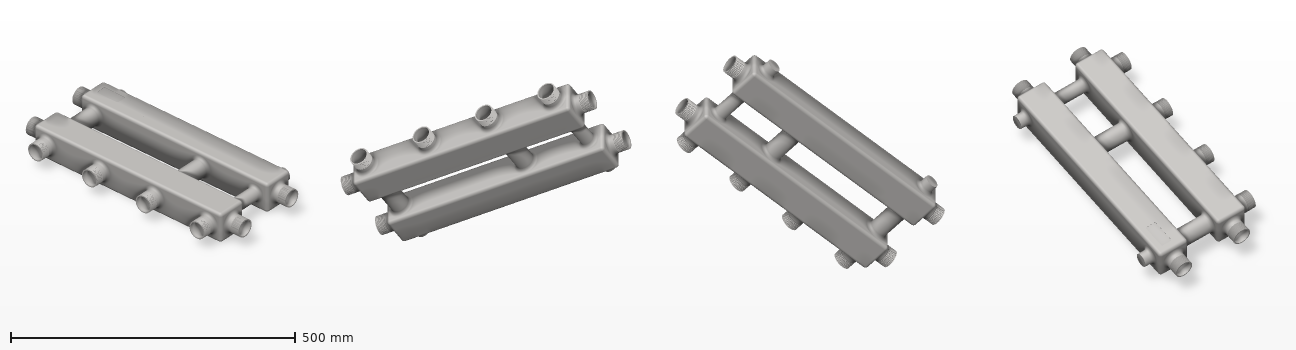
import cadquery as cq
import math

overall_length = 495.0
header_length = 434.5
header_size = 61.0
header_edge_radius = 6.0
header_pitch = 125.0

pipe_diameter = 35.0
pipe_radius = pipe_diameter / 2
small_pipe_diameter = 26.0
small_pipe_radius = small_pipe_diameter / 2
weld_radius = 6.0
weld_middle = weld_radius * (1 - math.sqrt(0.5))
root_overlap = 5.0

end_port_length = (overall_length - header_length) / 2
outlet_length = 29.5
bore_radius = 15.5
thread_pitch = 2.35
thread_depth = 1.1
end_groove_count = 8
outlet_groove_count = 7

outlet_span = 375.0
outlet_count = 4
outlet_pitch = outlet_span / (outlet_count - 1)
outlet_places = [i * outlet_pitch - outlet_span / 2 for i in range(outlet_count)]
bridge_pipes = [
    (outlet_places[0], pipe_radius),
    (outlet_places[2], pipe_radius),
    (outlet_places[3], small_pipe_radius),
]
stub_places = [outlet_places[0], outlet_places[-1]]
stub_length = 19.5

plate_length = 49.5
plate_width = 21.5
plate_corner_radius = 2.5
plate_depth = 0.5
plate_x = -176.5
plate_y_offset = 4.5

front_y = -header_pitch / 2
rear_y = header_pitch / 2
half_size = header_size / 2


def header(y):
    bar = cq.Workplane("XY").box(header_length, header_size, header_size)
    return bar.edges().fillet(header_edge_radius).translate((0, y, 0))


def weld_start(radius):
    """Begin a pipe profile (radius, height): inside the header wall, then up the weld arc."""
    return (
        cq.Workplane("XY")
        .moveTo(0, -root_overlap)
        .lineTo(radius + weld_radius, -root_overlap)
        .lineTo(radius + weld_radius, 0)
        .threePointArc((radius + weld_middle, weld_middle), (radius, weld_radius))
    )


def spin(profile):
    """Close a profile and revolve it about its own height axis, Y."""
    return profile.close().revolve(360, (0, 0, 0), (0, 1, 0))


def plain_pipe(radius, length):
    return spin(weld_start(radius).lineTo(radius, length).lineTo(0, length))


def threaded_port(length, groove_count):
    """Blind-bored pipe along +Y with ring grooves up to its mouth."""
    profile = weld_start(pipe_radius)
    thread_start = length - groove_count * thread_pitch
    for i in range(groove_count):
        groove_start = thread_start + i * thread_pitch
        profile = profile.lineTo(pipe_radius, groove_start)
        profile = profile.lineTo(pipe_radius - thread_depth, groove_start + thread_pitch / 2)
    profile = profile.lineTo(pipe_radius, length).lineTo(bore_radius, length)
    return spin(profile.lineTo(bore_radius, 0).lineTo(0, 0))


def turned(pipe, angle):
    """Turn a +Y pipe about Z."""
    return pipe.rotate((0, 0, 0), (0, 0, 1), angle)


def bridge(radius):
    """Pipe spanning the gap between the headers, with a weld at both ends."""
    gap = header_pitch - header_size
    weld_outer = radius + weld_radius
    pipe = spin(
        weld_start(radius)
        .lineTo(radius, gap - weld_radius)
        .threePointArc((radius + weld_middle, gap - weld_middle), (weld_outer, gap))
        .lineTo(weld_outer, gap + root_overlap)
        .lineTo(0, gap + root_overlap)
    )
    return pipe.translate((0, -gap / 2, 0))


result = header(front_y).union(header(rear_y))

for x, radius in bridge_pipes:
    result = result.union(bridge(radius).translate((x, 0, 0)))

end_port = threaded_port(end_port_length, end_groove_count)
for y in (front_y, rear_y):
    result = result.union(turned(end_port, 90).translate((-header_length / 2, y, 0)))
    result = result.union(turned(end_port, -90).translate((header_length / 2, y, 0)))

outlet = turned(threaded_port(outlet_length, outlet_groove_count), 180)
for x in outlet_places:
    result = result.union(outlet.translate((x, front_y - half_size, 0)))

stub = plain_pipe(small_pipe_radius, stub_length)
for x in stub_places:
    result = result.union(stub.translate((x, rear_y + half_size, 0)))

plate_recess = (
    cq.Workplane("XY")
    .box(plate_length, plate_width, 2 * plate_depth)
    .edges("|Z")
    .fillet(plate_corner_radius)
    .translate((plate_x, rear_y + plate_y_offset, half_size))
)
result = result.cut(plate_recess)